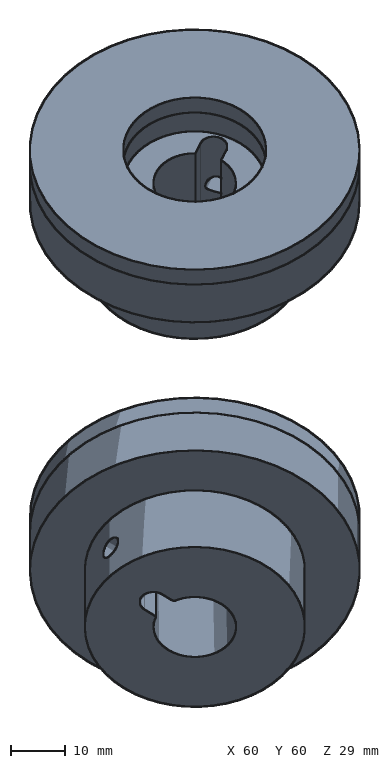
import cadquery as cq

flange_diameter = 60.0
total_height = 29.0
hub_diameter = 40.0
opening_diameter = 26.0
bore_diameter = 15.0
keyway_width = 5.0
keyway_end_center = 9.8
hub_length = 15.0
flange_thickness = 10.0
recess_depth = 5.0
set_screw_diameter = 4.2

flange_top = hub_length + flange_thickness
cover_thickness = total_height - flange_top
set_screw_height = hub_length / 2


def make_disc(diameter, bottom, height):
    """Plain cylinder on the Z axis."""
    return cq.Workplane("XY").workplane(offset=bottom).circle(diameter / 2).extrude(height)


def make_keyed_bore():
    """Through bore with a round-ended keyway toward +Y."""
    bore = make_disc(bore_diameter, 0, flange_top)
    keyway_slot = (
        cq.Workplane("XY")
        .center(0, keyway_end_center / 2)
        .slot2D(keyway_end_center + keyway_width, keyway_width, 90)
        .extrude(flange_top)
    )
    return bore.union(keyway_slot)


def make_set_screw_hole():
    """Radial hole from the keyway out through the hub wall on the +Y side."""
    return (
        cq.Workplane("XZ", origin=(0, keyway_end_center, set_screw_height))
        .circle(set_screw_diameter / 2)
        .extrude(-hub_diameter / 2)
    )


def make_flanged_hub():
    """Hub and flange in one piece, recessed on top and pierced by the keyed bore."""
    hub = make_disc(hub_diameter, 0, hub_length)
    flange = make_disc(flange_diameter, hub_length, flange_thickness)
    recess = make_disc(opening_diameter, flange_top - recess_depth, recess_depth)
    return hub.union(flange).cut(recess).cut(make_keyed_bore()).cut(make_set_screw_hole())


def make_cover_ring():
    """Flat ring on the flange, with an opening that continues the recess."""
    disc = make_disc(flange_diameter, flange_top, cover_thickness)
    opening = make_disc(opening_diameter, flange_top, cover_thickness)
    return disc.cut(opening)


flanged_hub = make_flanged_hub()
cover_ring = make_cover_ring()

result = cq.Compound.makeCompound([flanged_hub.val(), cover_ring.val()])